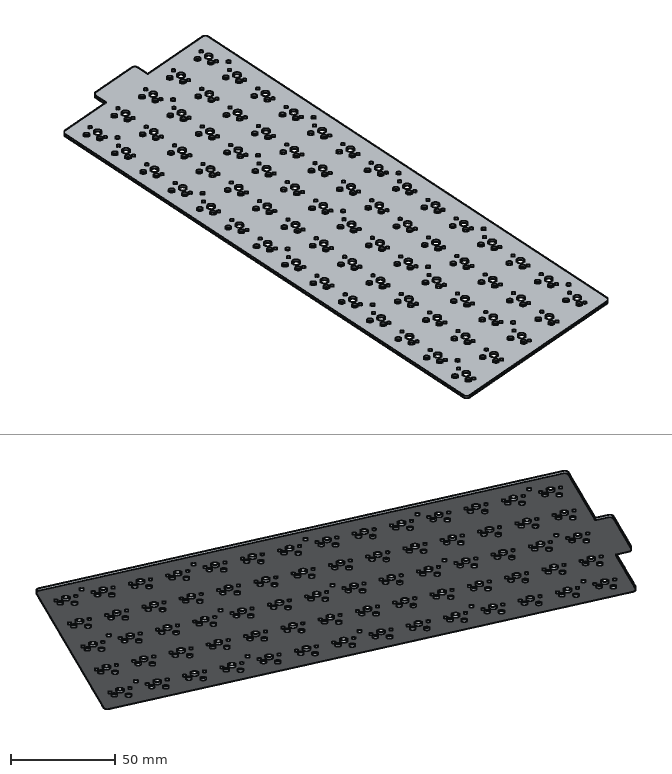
import cadquery as cq

total_length = 279.8
plate_width = 98.0
thickness = 1.6
corner_radius = 2.0

tab_length = 8.7
tab_width = 28.5
tab_center_y = -4.8

tab_end_x = -total_length / 2
left_x = tab_end_x + tab_length
right_x = total_length / 2
body_center_x = (left_x + right_x) / 2

columns = 14
rows = 5
grid_length = 247.0
grid_center_y = 0.98
pitch = grid_length / (columns - 1)

raster = pitch / 15
stem_radius = 2.0
peg_radius = 0.9
peg_offsets = [(-4 * raster, 0), (4 * raster, 0)]
pin_radius = 1.48
pin_offsets = [(3 * raster, -2 * raster), (-2 * raster, -4 * raster)]

mount_radius = 1.1
mount_column_step = 3
mount_row_step = 2
mount_rise = 4.0


def key_position(column, row):
    """Centre of a switch; a fractional column lies between two switches."""
    x = body_center_x + (column - (columns - 1) / 2) * pitch
    y = grid_center_y + (row - (rows - 1) / 2) * pitch
    return x, y


def shifted(points, offsets):
    """Every point moved by every offset."""
    return [(x + dx, y + dy) for x, y in points for dx, dy in offsets]


def make_plate():
    """Rounded body with the tab joined to its left edge."""
    body = (
        cq.Workplane("XY")
        .center(body_center_x, 0)
        .rect(right_x - left_x, plate_width)
        .extrude(thickness)
        .edges("|Z")
        .fillet(corner_radius)
    )
    tab = (
        cq.Workplane("XY")
        .center(tab_end_x + tab_length / 2, tab_center_y)
        .rect(tab_length, tab_width)
        .extrude(thickness)
        .edges("|Z and <X")
        .fillet(corner_radius)
    )
    return body.union(tab)


def drill(plate, points, radius):
    """Cut round through holes at the given points."""
    drills = cq.Workplane("XY").pushPoints(points).circle(radius).extrude(thickness)
    return plate.cut(drills)


keys = [key_position(column, row) for column in range(columns) for row in range(rows)]
gap_centers = [
    key_position(column + 0.5, row)
    for column in range(0, columns - 1, mount_column_step)
    for row in range(0, rows, mount_row_step)
]

result = make_plate()
result = drill(result, keys, stem_radius)
result = drill(result, shifted(keys, peg_offsets), peg_radius)
result = drill(result, shifted(keys, pin_offsets), pin_radius)
result = drill(result, shifted(gap_centers, [(0, mount_rise)]), mount_radius)